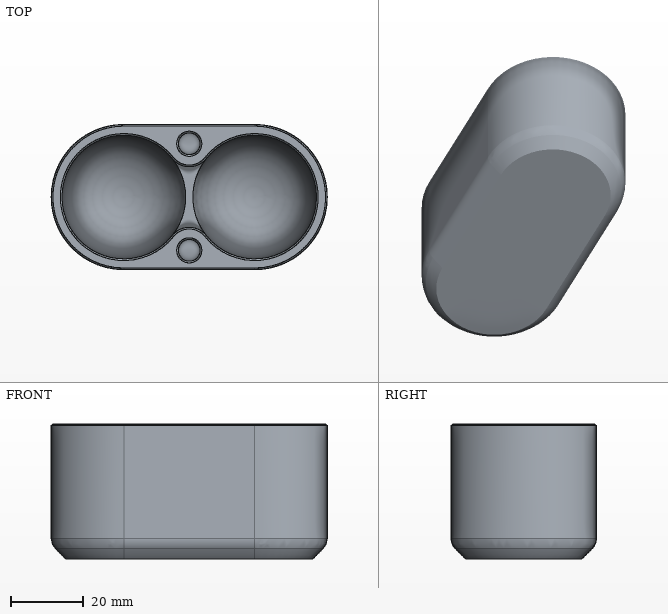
import cadquery as cq
import math

length = 76.0
width = 40.0
height = 37.2
end_radius = width / 2
center_offset = length / 2 - end_radius

base_chamfer = 4.0
base_round = 4.0

pocket_radius = 17.0
pocket_depth = 17.0
neck_radius = 6.0
floor_z = height - pocket_depth

hole_diameter = 6.0
hole_offset = 14.7
hole_depth = 2.0

edge_chamfer = 0.45


def make_body():
    """Stadium block with its lower edge chamfered and rounded."""
    body = cq.Workplane("XY").slot2D(length, width).extrude(height)
    body = body.faces("<Z").edges().chamfer(base_chamfer)
    return body.faces(">Y").edges("<Z").fillet(base_round)


def make_pocket():
    """Two round pockets joined by a neck with arcs tangent to both circles."""
    neck_center_y = math.sqrt((pocket_radius + neck_radius) ** 2 - center_offset**2)
    neck_half_width = neck_center_y - neck_radius
    angle = math.atan2(neck_center_y, center_offset)
    tangent_x = center_offset - pocket_radius * math.cos(angle)
    tangent_y = pocket_radius * math.sin(angle)
    outer_x = center_offset + pocket_radius
    return (
        cq.Workplane("XY")
        .workplane(offset=floor_z)
        .moveTo(tangent_x, tangent_y)
        .threePointArc((0, neck_half_width), (-tangent_x, tangent_y))
        .threePointArc((-outer_x, 0), (-tangent_x, -tangent_y))
        .threePointArc((0, -neck_half_width), (tangent_x, -tangent_y))
        .threePointArc((outer_x, 0), (tangent_x, tangent_y))
        .close()
        .extrude(pocket_depth)
    )


def make_bowls():
    """Hemispheres sunk below the pocket floor."""
    bowl_centers = [(-center_offset, 0, floor_z), (center_offset, 0, floor_z)]
    return (
        cq.Workplane("XY")
        .pushPoints(bowl_centers)
        .sphere(pocket_radius, angle1=-90, angle2=0)
    )


def make_holes():
    """Blind holes sunk into the rim."""
    return (
        cq.Workplane("XY")
        .workplane(offset=height - hole_depth)
        .pushPoints([(0, -hole_offset), (0, hole_offset)])
        .circle(hole_diameter / 2)
        .extrude(hole_depth)
    )


result = make_body().cut(make_pocket()).cut(make_holes())
result = result.faces(">Z").edges().chamfer(edge_chamfer)
result = result.cut(make_bowls())